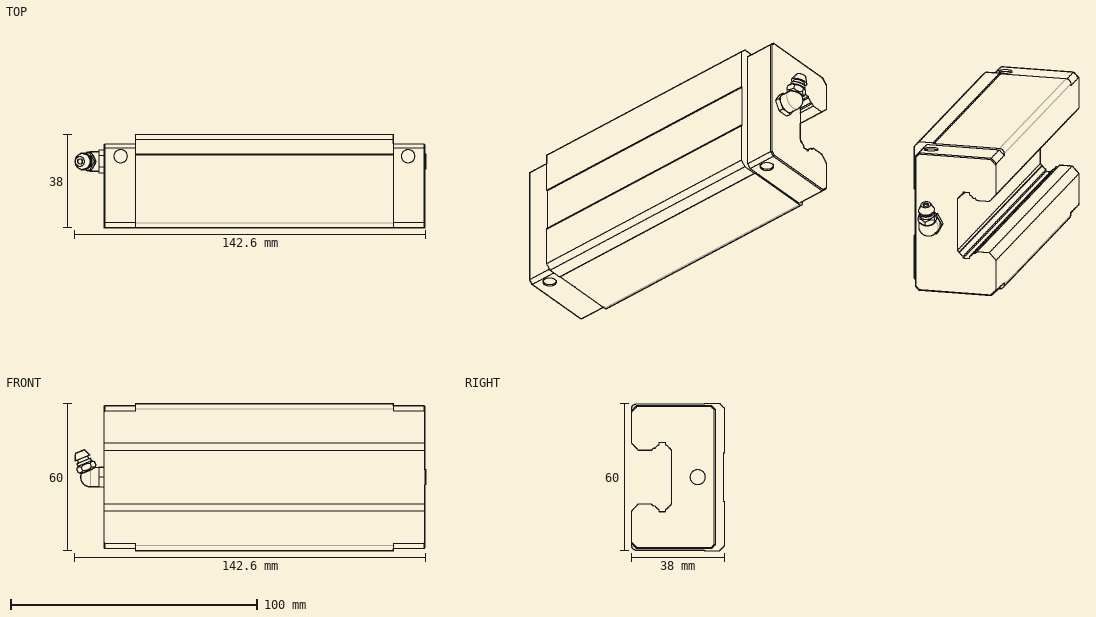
import cadquery as cq
import math


overall_length = 142.6
body_length = 104.8
body_depth = 38.0
body_height = 60.0
flank_height = 59.5
flank_step_y = 30.0
flank_step_run = 0.4
body_back_chamfer = 2.1
body_front_fillet = 2.0
back_relief_height = 19.7
back_relief_depth = 0.4
cap_depth = 34.1
cap_height = 58.2
cap_front_chamfer = 2.1
cap_back_chamfer = 1.5
cap_end_chamfer = 0.4

slot_depth = 16.3
slot_half = 10.8
slot_mouth_half = 13.8
slot_mouth_depth = 2.9
lip_half = 11.7
lip_front_y = 8.1
lip_front_run = 0.7
lip_back_run = 0.5
raceway_y = 12.5
raceway_z = 10.1
raceway_radius = 3.3
relief_groove_width = 2.5
relief_groove_half = 14.0

port_diameter = 5.4
port_recess = 0.7
port_inset = 6.8
port_y = 29.1
fitting_y = 27.0
plug_diameter = 6.1
plug_height = 0.4

elbow_radius = 4.0
elbow_reach = 5.4
base_hex_flats = 8.1
base_hex_length = 2.0
nipple_tilt = 22.5
nut_flats = 6.8
nut_start = 2.9
nut_end = 6.0
nut_chamfer = 0.9
collar_radius = 3.0
collar_end = 7.1
neck_radius = 2.3
head_start = 8.4
head_length = 2.9
head_radius = 3.3
head_tip_radius = 2.0
head_hole_diameter = 2.1
head_hole_depth = 0.5

tilt_angle = math.radians(nipple_tilt)
fitting_reach = elbow_reach + head_start * math.sin(tilt_angle) + head_radius * math.cos(tilt_angle)
cap_to_cap_length = overall_length - plug_height - fitting_reach
end_x = cap_to_cap_length / 2
cap_length = (cap_to_cap_length - body_length) / 2
nut_corner_diameter = nut_flats / math.cos(math.pi / 6)
base_corner_diameter = base_hex_flats / math.cos(math.pi / 6)


def extrude_symmetric(upper, length):
    """Extrude a (y, z) half outline, mirrored about Z = 0, centred along X."""
    lower = [(y, -z) for y, z in reversed(upper)]
    outline = cq.Workplane("YZ").polyline(upper + lower).close()
    return outline.extrude(length / 2, both=True)


def make_body():
    upper = [
        (0, flank_height / 2),
        (flank_step_y - flank_step_run, flank_height / 2),
        (flank_step_y, body_height / 2),
        (body_depth - body_back_chamfer, body_height / 2),
        (body_depth, body_height / 2 - body_back_chamfer),
        (body_depth, back_relief_height / 2),
        (body_depth - back_relief_depth, back_relief_height / 2),
    ]
    body = extrude_symmetric(upper, body_length)
    return body.faces("<Y").edges("|X").fillet(body_front_fillet)


def make_end_cap(side):
    """End cap on the side -1 or +1 along X."""
    cap = cq.Workplane("XY").box(cap_length, cap_depth, cap_height, centered=(True, False, True))
    cap = cap.faces("<Y").edges("|X").chamfer(cap_front_chamfer)
    cap = cap.faces(">Y").edges("|X").chamfer(cap_back_chamfer)
    outer_face = cap.faces(">X" if side > 0 else "<X")
    cap = outer_face.edges("not(<Y)").chamfer(cap_end_chamfer)
    port = cq.Workplane("XY").circle(port_diameter / 2).extrude(port_recess)
    for port_z in (cap_height / 2 - port_recess, -cap_height / 2):
        cap = cap.cut(port.translate((side * (cap_length / 2 - port_inset), port_y, port_z)))
    return cap.translate((side * (end_x - cap_length / 2), 0, 0))


def make_rail_slot():
    upper = [
        (0, slot_mouth_half),
        (slot_mouth_depth, slot_half),
        (lip_front_y, slot_half),
        (lip_front_y + lip_front_run, lip_half),
        (slot_depth - lip_back_run, lip_half),
        (slot_depth, slot_half),
    ]
    slot = extrude_symmetric(upper, cap_to_cap_length)
    half_length = cap_to_cap_length / 2
    raceways = (
        cq.Workplane("YZ")
        .pushPoints([(raceway_y, raceway_z), (raceway_y, -raceway_z)])
        .circle(raceway_radius)
        .extrude(half_length, both=True)
    )
    relief_grooves = (
        cq.Workplane("YZ")
        .center(raceway_y, 0)
        .rect(relief_groove_width, 2 * relief_groove_half)
        .extrude(half_length, both=True)
    )
    return slot.union(raceways).union(relief_grooves)


def make_nipple():
    """Nipple on a vertical axis, starting from the elbow centre at the origin."""
    nut = cq.Workplane("XY").polygon(6, nut_corner_diameter).extrude(nut_end)
    trim = cq.Workplane("XY").workplane(offset=nut_start).circle(nut_corner_diameter / 2)
    trim = trim.extrude(nut_end - nut_start).edges().chamfer(nut_chamfer)
    stem_outline = [
        (0, 0),
        (collar_radius, 0),
        (collar_radius, collar_end),
        (neck_radius, collar_end),
        (neck_radius, head_start),
        (head_radius, head_start),
        (head_tip_radius, head_start + head_length),
        (0, head_start + head_length),
    ]
    stem = cq.Workplane("XZ").polyline(stem_outline).close().revolve(360, (0, 0, 0), (0, 1, 0))
    nipple = stem.union(nut.intersect(trim))
    return nipple.faces(">Z").workplane().hole(head_hole_diameter, head_hole_depth)


def make_grease_fitting():
    """Fitting pointing along -X with its base on X = 0."""
    base = cq.Workplane("YZ").polygon(6, base_corner_diameter).extrude(-base_hex_length)
    elbow = (
        cq.Workplane("XZ")
        .moveTo(0, 0)
        .lineTo(0, elbow_radius)
        .lineTo(-elbow_reach, elbow_radius)
        .radiusArc((-elbow_reach - elbow_radius, 0), -elbow_radius)
        .close()
        .revolve(360, (0, 0, 0), (1, 0, 0))
    )
    nipple = make_nipple().rotate((0, 0, 0), (0, 1, 0), -nipple_tilt)
    nipple = nipple.translate((-elbow_reach, 0, 0))
    return base.union(elbow).union(nipple)


carriage = make_body().union(make_end_cap(-1)).union(make_end_cap(1)).cut(make_rail_slot())
plug = cq.Workplane("YZ", origin=(end_x, fitting_y, 0)).circle(plug_diameter / 2).extrude(plug_height)
fitting = make_grease_fitting().translate((-end_x, fitting_y, 0))
result = carriage.union(plug).union(fitting)